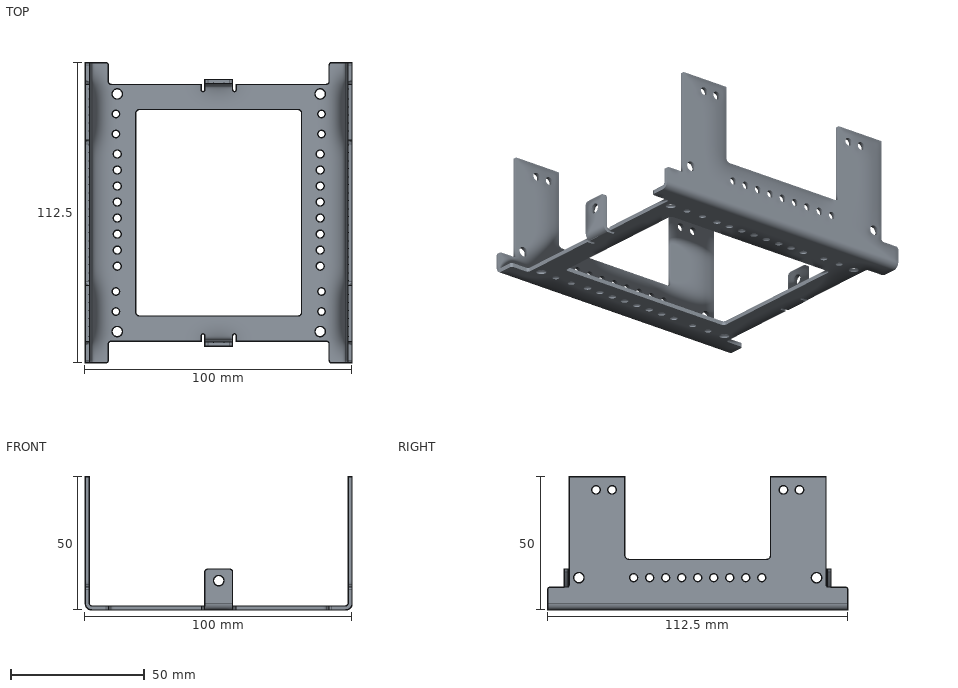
import cadquery as cq

WIDTH = 100.0
LENGTH = 112.5
HEIGHT = 50.0
SHEET = 1.58
BEND_INNER_RADIUS = 0.87
BEND_OUTER_RADIUS = BEND_INNER_RADIUS + SHEET
CORNER_RADIUS = 1.0

FLOOR_LENGTH = 96.25
EAR_INNER_SPACING = 82.6
WINDOW_WIDTH = 62.0
WINDOW_LENGTH = 77.2
WINDOW_CORNER_RADIUS = 1.2

WALL_LENGTH = FLOOR_LENGTH
SHOULDER_HEIGHT = 8.6
WALL_GAP_LENGTH = 54.5
WALL_GAP_BOTTOM = 19.0
WALL_GAP_CORNER_RADIUS = 1.5

TAB_WIDTH = 10.5
TAB_TOP = 15.4
TAB_CORNER_RADIUS = 1.2
TAB_OUTER_Y = 50.0
TAB_HOLE_HEIGHT = 11.0
RELIEF_WIDTH = 1.25
RELIEF_INNER_Y = 45.4

CORNER_HOLE_DIAMETER = 3.8
TAB_HOLE_DIAMETER = 3.81
ROW_HOLE_DIAMETER = 2.9
PILOT_HOLE_DIAMETER = 2.69
ARM_HOLE_DIAMETER = 3.1
HOLE_PITCH = 6.0
CORNER_HOLE_Y = 44.5
FLOOR_ROW_X = 38.0
FLOOR_ROW_COUNT = 8
FLOOR_ROW_CENTER_Y = 1.0
PILOT_HOLE_X = 38.5
PILOT_HOLE_YS = (29.5, 37.0)
WALL_ROW_HEIGHT = 12.1
WALL_ROW_COUNT = 9
ARM_HOLE_HEIGHT = 45.0
ARM_HOLE_INNER_Y = 32.1
ARM_HOLE_YS = (ARM_HOLE_INNER_Y, ARM_HOLE_INNER_Y + HOLE_PITCH)


def mirrored(distances):
    """Each distance on both sides of zero."""
    return [side * distance for distance in distances for side in (-1, 1)]


def row(count, center=0.0):
    """Positions of an evenly pitched row of holes."""
    first = center - (count - 1) * HOLE_PITCH / 2
    return [first + i * HOLE_PITCH for i in range(count)]


def grid(first_positions, second_positions):
    """Every pairing of the two lists of positions, as points."""
    return [(first, second) for first in first_positions for second in second_positions]


def drill(plane, diameter, points, reach):
    """Cylinders at the points, reaching the given distance to both sides of the plane."""
    return cq.Workplane(plane).pushPoints(points).circle(diameter / 2).extrude(reach, both=True)


def bent_channel():
    """U-shaped sheet running the full length, with rounded bends."""
    outside = (
        cq.Workplane("XY")
        .box(WIDTH, LENGTH, HEIGHT, centered=(True, True, False))
        .edges("|Y and <Z")
        .fillet(BEND_OUTER_RADIUS)
    )
    inside = (
        cq.Workplane("XY")
        .workplane(offset=SHEET)
        .box(WIDTH - 2 * SHEET, LENGTH, HEIGHT, centered=(True, True, False))
        .edges("|Y and <Z")
        .fillet(BEND_INNER_RADIUS)
    )
    return outside.cut(inside)


def floor_outline():
    """Prism with the plan outline: a full-length block notched at both ends, with a window."""
    block = cq.Workplane("XY").box(WIDTH, LENGTH, HEIGHT, centered=(True, True, False))
    end_notches = (
        cq.Workplane("XY")
        .pushPoints([(0, y) for y in mirrored([FLOOR_LENGTH / 2 + LENGTH / 2])])
        .rect(EAR_INNER_SPACING, LENGTH)
        .extrude(HEIGHT)
    )
    window = (
        cq.Workplane("XY")
        .rect(WINDOW_WIDTH, WINDOW_LENGTH)
        .extrude(HEIGHT)
        .edges("|Z")
        .fillet(WINDOW_CORNER_RADIUS)
    )
    ear_edges = cq.selectors.BoxSelector(
        (-WIDTH / 2 + SHEET, -LENGTH, 0), (WIDTH / 2 - SHEET, LENGTH, HEIGHT)
    )
    notched = block.cut(end_notches)
    return notched.edges("|Z").edges(ear_edges).fillet(CORNER_RADIUS).cut(window)


def wall_outline():
    """Prism across the width with the side outline: low shoulders and two tall arms."""
    shoulders = cq.Workplane("YZ").rect(LENGTH, 2 * SHOULDER_HEIGHT).extrude(WIDTH / 2, both=True)
    arms = cq.Workplane("YZ").rect(WALL_LENGTH, 2 * HEIGHT).extrude(WIDTH / 2, both=True)
    shoulder_edges = cq.selectors.BoxSelector((-WIDTH, -LENGTH, 0), (WIDTH, LENGTH, HEIGHT - SHEET))
    gap = (
        cq.Workplane("YZ")
        .center(0, WALL_GAP_BOTTOM + HEIGHT / 2)
        .rect(WALL_GAP_LENGTH, HEIGHT)
        .extrude(WIDTH / 2, both=True)
        .edges("|X and <Z")
        .fillet(WALL_GAP_CORNER_RADIUS)
    )
    outline = shoulders.union(arms).edges("|X").edges(shoulder_edges).fillet(CORNER_RADIUS)
    return outline.cut(gap)


def relief_slots():
    """Round-bottomed slots either side of each end tab that free it for bending."""
    slot_x = (TAB_WIDTH + RELIEF_WIDTH) / 2
    round_center_y = RELIEF_INNER_Y + RELIEF_WIDTH / 2
    straight_length = FLOOR_LENGTH / 2 - round_center_y
    straight_center_y = round_center_y + straight_length / 2
    straights = (
        cq.Workplane("XY")
        .pushPoints(grid(mirrored([slot_x]), mirrored([straight_center_y])))
        .rect(RELIEF_WIDTH, straight_length)
        .extrude(SHEET)
    )
    round_centers = grid(mirrored([slot_x]), mirrored([round_center_y]))
    return straights.union(drill("XY", RELIEF_WIDTH, round_centers, SHEET))


def end_tab():
    """Tab at the +Y end, bent up from the floor."""
    start_y = RELIEF_INNER_Y
    tab = (
        cq.Workplane("YZ")
        .moveTo(start_y, 0)
        .lineTo(TAB_OUTER_Y - BEND_OUTER_RADIUS, 0)
        .radiusArc((TAB_OUTER_Y, BEND_OUTER_RADIUS), -BEND_OUTER_RADIUS)
        .lineTo(TAB_OUTER_Y, TAB_TOP)
        .lineTo(TAB_OUTER_Y - SHEET, TAB_TOP)
        .lineTo(TAB_OUTER_Y - SHEET, BEND_OUTER_RADIUS)
        .radiusArc((TAB_OUTER_Y - BEND_OUTER_RADIUS, SHEET), BEND_INNER_RADIUS)
        .lineTo(start_y, SHEET)
        .close()
        .extrude(TAB_WIDTH / 2, both=True)
    )
    return tab.edges("|Y and >Z").fillet(TAB_CORNER_RADIUS)


def floor_holes():
    """Mounting holes and hole rows along both sides of the floor."""
    corners = grid(mirrored([FLOOR_ROW_X]), mirrored([CORNER_HOLE_Y]))
    pilots = grid(mirrored([PILOT_HOLE_X]), mirrored(PILOT_HOLE_YS))
    rows = grid(mirrored([FLOOR_ROW_X]), row(FLOOR_ROW_COUNT, FLOOR_ROW_CENTER_Y))
    return (
        drill("XY", CORNER_HOLE_DIAMETER, corners, SHEET)
        .add(drill("XY", PILOT_HOLE_DIAMETER, pilots, SHEET))
        .add(drill("XY", ROW_HOLE_DIAMETER, rows, SHEET))
        .combine()
    )


def wall_holes():
    """Holes through both side walls."""
    corners = grid(mirrored([CORNER_HOLE_Y]), [WALL_ROW_HEIGHT])
    rows = grid(row(WALL_ROW_COUNT), [WALL_ROW_HEIGHT])
    arms = grid(mirrored(ARM_HOLE_YS), [ARM_HOLE_HEIGHT])
    return (
        drill("YZ", CORNER_HOLE_DIAMETER, corners, WIDTH / 2)
        .add(drill("YZ", ROW_HOLE_DIAMETER, rows, WIDTH / 2))
        .add(drill("YZ", ARM_HOLE_DIAMETER, arms, WIDTH / 2))
        .combine()
    )


def tab_holes():
    """One hole line through both end tabs."""
    return drill("XZ", TAB_HOLE_DIAMETER, [(0, TAB_HOLE_HEIGHT)], LENGTH / 2)


channel = bent_channel().intersect(floor_outline()).intersect(wall_outline())
plate = channel.cut(relief_slots()).cut(floor_holes()).cut(wall_holes())
tab = end_tab()
result = plate.union(tab).union(tab.mirror("XZ")).cut(tab_holes())